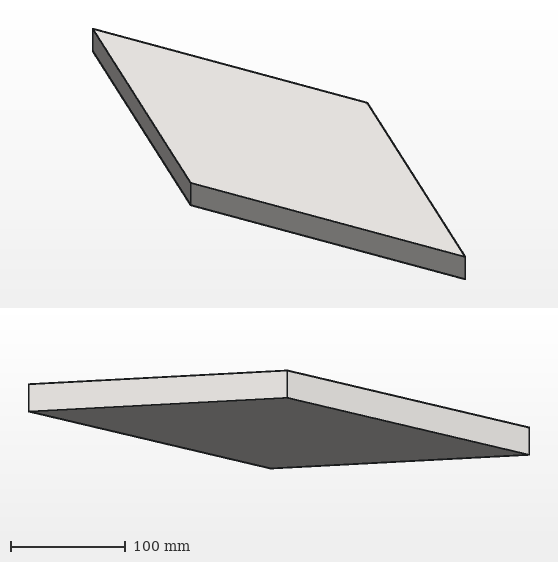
import cadquery as cq

length = 422.0
width = 161.5
thickness = 25.5

end_shift = width

outline = [
    (end_shift, 0),
    (length, 0),
    (length - end_shift, width),
    (0, width),
]

result = cq.Workplane("XY").polyline(outline).close().extrude(thickness)